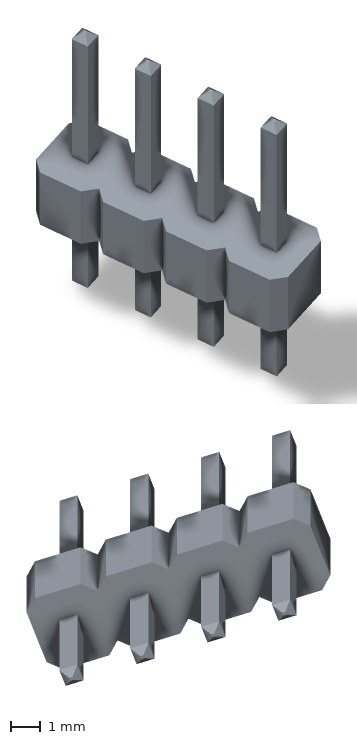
import cadquery as cq

pin_count = 4
strip_length = 10.15
strip_depth = 2.93
pitch = strip_length / pin_count
strip_height = 2.54
corner_chamfer = 0.45

pin_width = 0.65
pin_length = 12.19
pin_below_strip = 3.7
tip_height = 0.24
tip_width = 0.12
pin_offset_y = 0.06

pin_positions = [((i - (pin_count - 1) / 2) * pitch, pin_offset_y) for i in range(pin_count)]


def make_strip():
    """Row of joined octagonal cells, one per pin, with V notches between them."""
    strip = cq.Workplane("XY")
    for x, _ in pin_positions:
        cell = (
            cq.Workplane("XY")
            .box(pitch, strip_depth, strip_height, centered=(True, True, False))
            .edges("|Z")
            .chamfer(corner_chamfer)
            .translate((x, 0, 0))
        )
        strip = strip.union(cell)
    return strip


def make_tip(base_z, end_z):
    """Truncated pyramid that narrows from the pin's section to its small end face."""
    return (
        cq.Workplane("XY", origin=(0, 0, base_z))
        .rect(pin_width, pin_width)
        .workplane(offset=end_z - base_z)
        .rect(tip_width, tip_width)
        .loft(ruled=True)
    )


def make_pin():
    """Square pin with both ends tapered."""
    bottom = -pin_below_strip
    top = bottom + pin_length
    shank = (
        cq.Workplane("XY", origin=(0, 0, bottom + tip_height))
        .rect(pin_width, pin_width)
        .extrude(pin_length - 2 * tip_height)
    )
    upper_tip = make_tip(top - tip_height, top)
    lower_tip = make_tip(bottom + tip_height, bottom)
    return shank.union(upper_tip).union(lower_tip)


result = make_strip()
pin = make_pin()
for x, y in pin_positions:
    result = result.union(pin.translate((x, y, 0)))